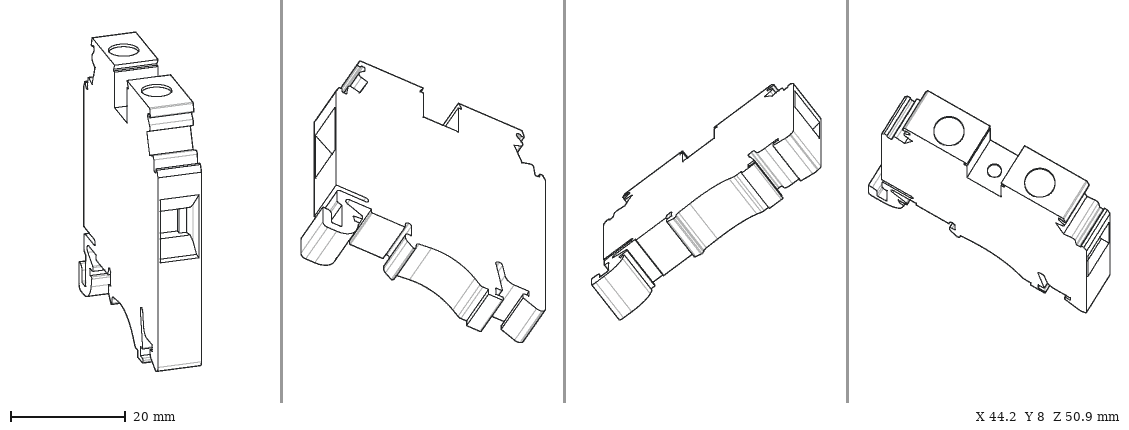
import cadquery as cq
import math


height = 50.85
thickness = 8.0
half_width = 20.8
foot_reach = 23.45

arm_slot_top = 12.95
arm_slot_height = 1.1
arm_slot_end = -14.4
arm_slot_bottom = arm_slot_top - arm_slot_height

marking_slot_half_width = 3.45
marking_slot_floor = 42.75
notch_depth = 0.6
notch_bottom = 49.55
notch_top_edge = 49.85

recess_y = -0.45
screw_spacing = 18.4
screw_diameter = 5.3
test_hole_diameter = 2.45
recess_depth = 0.5

funnel_half_width = 3.55
mouth_floor = 23.35
mouth_ceiling = 35.35
throat_floor = 25.9
throat_ceiling = 31.1
ramp_start = 1.55
ramp_end = 4.35
taper_start = 3.35
taper_end = 5.35
taper_inset = 0.45
funnel_depth = 5.7
contact_width = 4.55
contact_y = -0.5
contact_depth = 1.0

shortest_line = 0.005

upper_corners = [
    (marking_slot_half_width, marking_slot_floor, 0),
    (marking_slot_half_width, notch_bottom, 0),
    (marking_slot_half_width + notch_depth, notch_bottom, 0),
    (marking_slot_half_width + notch_depth, notch_top_edge, 0),
    (marking_slot_half_width, height, 0),
    (16.1, height, 0.2),
    (16.65, 49.15, 0.15),
    (15.95, 49.15, 0.15),
    (15.75, 49.55, 0.15),
    (15.05, 49.55, 0.4),
    (15.05, 48.65, 0.4),
    (16.85, 46.8, 0.8),
    (14.55, 45.75, 0),
    (16.1, 41.9, 0),
    (18.35, 42.65, 0.55),
    (18.7, 39.85, 0.15),
    (19.65, 39.85, 0.3),
    (19.65, 40.8, 0),
    (20.25, 40.8, 0),
    (half_width, 39.55, 0),
]

clip_corners = [
    (-half_width, arm_slot_top, 0),
    (arm_slot_end, arm_slot_top, arm_slot_height / 2),
    (arm_slot_end, arm_slot_bottom, arm_slot_height / 2),
    (-20.65, arm_slot_bottom, 0.65),
    (-20.65, 8.4, 0.3),
    (-19.7, 7.95, 0),
    (-19.7, 1.9, 0.25),
    (-21.7, 1.9, 0.25),
    (-21.7, 5.15, 0.9),
    (-foot_reach, 5.15, 0),
    (-foot_reach, 0, 0.95),
    (-17.4, 0, 4.15),
    (-16.15, 5.15, 0.25),
    (-17.15, 5.15, 0),
    (-17.4, 6.35, 0),
    (-15.6, 6.55, 0),
    (-15.6, 7.4, 0.25),
    (-21.05, 10.4, 0.75),
    (-13.8, 10.4, 0),
    (-13.8, 9.45, 0.15),
]

base_corners = [
    (-7.1, 9.45, 0),
    (-6.9, 11.0, 0.5),
    (-5.85, 11.0, 0.5),
    (-5.85, 7.85, 0),
    (-7.0, 7.85, 0.55),
    (-7.0, 6.1, 1.25),
    (-5.4, 4.5, 0.15),
    (-4.95, 4.95, 0.15),
    (-4.85, 6.3, 0.6),
    (3.3, 7.4, 9.65),
    (8.0, 2.05, 0.75),
    (9.45, 2.05, 0),
    (9.45, 0.7, 0),
    (12.4, 0.7, 0.3),
    (12.4, 1.65, 0.3),
    (10.95, 1.65, 0),
    (10.95, 3.35, 0),
    (12.25, 3.35, 0.2),
    (10.8, 11.0, 0.6),
    (12.15, 11.0, 0.6),
    (13.0, 6.4, 1.85),
    (17.5, 6.4, 0),
    (17.5, 5.15, 0),
    (16.3, 5.15, 0.3),
    (16.3, 3.85, 0),
    (19.55, 2.15, 1.1),
    (half_width, 2.85, 1.1),
]


def round_corner(before, corner, after):
    """Start, middle and end of the arc that rounds one corner."""
    x, z, radius = corner
    reach_in = math.hypot(before[0] - x, before[1] - z)
    reach_out = math.hypot(after[0] - x, after[1] - z)
    ux, uz = (before[0] - x) / reach_in, (before[1] - z) / reach_in
    vx, vz = (after[0] - x) / reach_out, (after[1] - z) / reach_out
    half_angle = math.acos(ux * vx + uz * vz) / 2
    setback = radius / math.tan(half_angle)
    middle_reach = radius / math.sin(half_angle) - radius
    bisector = math.hypot(ux + vx, uz + vz)
    start = (x + ux * setback, z + uz * setback)
    middle = (x + (ux + vx) / bisector * middle_reach, z + (uz + vz) / bisector * middle_reach)
    end = (x + vx * setback, z + vz * setback)
    return start, middle, end


def rounded_outline(corners):
    """Closed XZ outline; the first corner must be sharp."""
    position = corners[0][:2]
    outline = cq.Workplane("XZ").moveTo(*position)
    for i in range(1, len(corners)):
        corner = corners[i]
        if corner[2] == 0:
            position = corner[:2]
            outline = outline.lineTo(*position)
            continue
        following = corners[(i + 1) % len(corners)]
        start, middle, end = round_corner(corners[i - 1], corner, following)
        if math.dist(position, start) > shortest_line:
            outline = outline.lineTo(*start)
        outline = outline.threePointArc(middle, end)
        position = end
    return outline.close()


def make_body():
    upper_left = [(-x, z, radius) for x, z, radius in upper_corners]
    corners = upper_left + clip_corners + base_corners + upper_corners[::-1]
    return rounded_outline(corners).extrude(thickness / 2, both=True)


def top_recess(x, floor_top, diameter):
    """Blind round recess sunk from an upward-facing surface."""
    return (
        cq.Workplane("XY", origin=(x, recess_y, floor_top - recess_depth))
        .circle(diameter / 2)
        .extrude(recess_depth)
    )


def make_funnel():
    """Wire funnel on the -X side: side profile and plan profile intersected."""
    face = -half_width
    side_profile = (
        cq.Workplane("XZ")
        .polyline([
            (face, mouth_floor),
            (face + ramp_start, mouth_floor),
            (face + ramp_end, throat_floor),
            (face + funnel_depth, throat_floor),
            (face + funnel_depth, throat_ceiling),
            (face + ramp_end, throat_ceiling),
            (face, mouth_ceiling),
        ])
        .close()
        .extrude(thickness / 2, both=True)
    )
    plan_profile = (
        cq.Workplane("XY")
        .polyline([
            (face, -funnel_half_width),
            (face + funnel_depth, -funnel_half_width),
            (face + funnel_depth, funnel_half_width - taper_inset),
            (face + taper_end, funnel_half_width - taper_inset),
            (face + taper_start, funnel_half_width),
            (face, funnel_half_width),
        ])
        .close()
        .extrude(height)
    )
    contact_pocket = (
        cq.Workplane("XY", origin=(face + funnel_depth, contact_y, throat_floor))
        .box(contact_depth, contact_width, throat_ceiling - throat_floor, centered=(False, True, False))
    )
    return side_profile.intersect(plan_profile).union(contact_pocket)


result = make_body()

for screw_x in (-screw_spacing / 2, screw_spacing / 2):
    result = result.cut(top_recess(screw_x, height, screw_diameter))
result = result.cut(top_recess(0, marking_slot_floor, test_hole_diameter))

funnel = make_funnel()
result = result.cut(funnel).cut(funnel.mirror("YZ"))